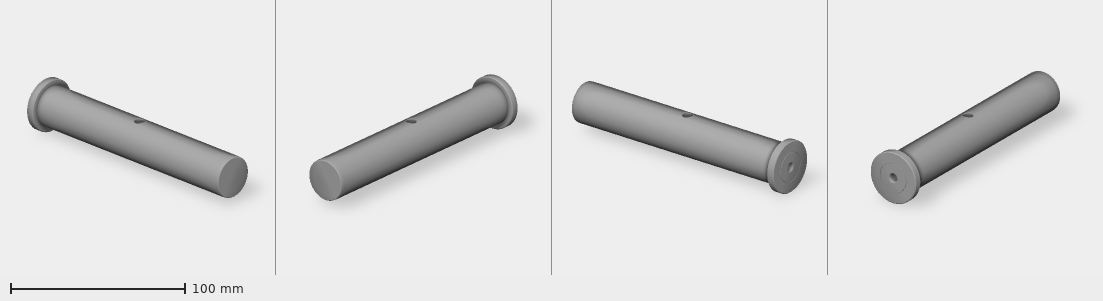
import cadquery as cq

length = 150.0
head_diameter = 32.0
head_thickness = 5.0
head_chamfer = 0.5
shank_diameter = 25.0

lead_length = 2.2
lead_drop = 0.2
tip_radius = 0.6

groove_diameter = 18.6
groove_width = 0.3
groove_depth = 0.5

bore_diameter = 5.0
bore_chamfer = 0.6
cross_diameter = 6.0
cross_mouth_radius = 0.5

head_face = -length / 2
head_back = head_face + head_thickness
tip_face = length / 2
head_radius = head_diameter / 2
shank_radius = shank_diameter / 2


def make_pin():
    """Revolve the half profile of head and shank about the X axis, then round the tip."""
    profile = (
        cq.Workplane("XY")
        .moveTo(head_face, 0)
        .lineTo(head_face, head_radius - head_chamfer)
        .lineTo(head_face + head_chamfer, head_radius)
        .lineTo(head_back - head_chamfer, head_radius)
        .lineTo(head_back, head_radius - head_chamfer)
        .lineTo(head_back, shank_radius)
        .lineTo(tip_face - lead_length, shank_radius)
        .lineTo(tip_face, shank_radius - lead_drop)
        .lineTo(tip_face, 0)
        .close()
    )
    pin = profile.revolve(360, (0, 0, 0), (1, 0, 0))
    return pin.faces(">X").edges().fillet(tip_radius)


def drill_cross_hole(pin):
    """Drill along Z through the middle of the shank and round both mouths."""
    bottom = cq.Workplane("XY", origin=(0, 0, -shank_radius))
    drill = bottom.circle(cross_diameter / 2).extrude(shank_diameter)
    mouth_edges = cq.selectors.BoxSelector(
        (-cross_diameter, -cross_diameter, -shank_diameter),
        (cross_diameter, cross_diameter, shank_diameter),
    )
    drilled = pin.cut(drill)
    return drilled.edges(mouth_edges).edges("not |Z").fillet(cross_mouth_radius)


def make_groove():
    """Ring sunk into the head face."""
    outer_radius = groove_diameter / 2
    face = cq.Workplane("YZ", origin=(head_face, 0, 0))
    return face.circle(outer_radius).circle(outer_radius - groove_width).extrude(groove_depth)


def make_bore():
    """Axial bore from the head face to the cross hole, with a chamfered mouth."""
    bore_radius = bore_diameter / 2
    return (
        cq.Workplane("XY")
        .moveTo(head_face, 0)
        .lineTo(head_face, bore_radius + bore_chamfer)
        .lineTo(head_face + bore_chamfer, bore_radius)
        .lineTo(0, bore_radius)
        .lineTo(0, 0)
        .close()
        .revolve(360, (0, 0, 0), (1, 0, 0))
    )


result = drill_cross_hole(make_pin()).cut(make_groove()).cut(make_bore())